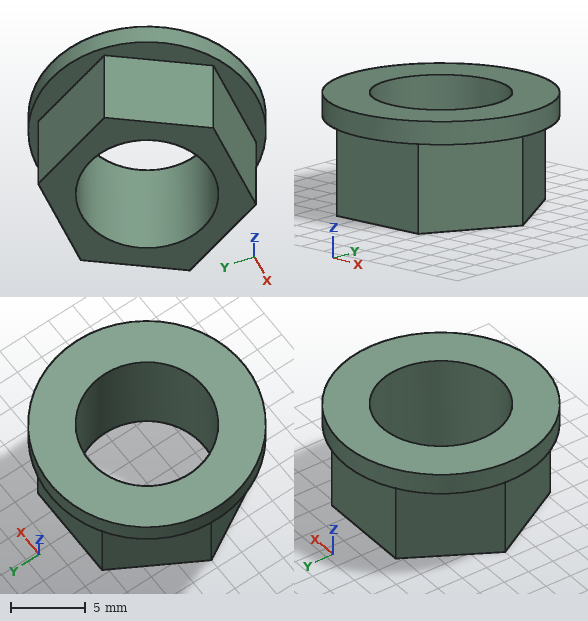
import cadquery as cq
import math

flange_diameter = 15.88
flange_thickness = 1.59
total_height = 7.94
bore_diameter = 9.53
hex_across_flats = 12.7

hex_height = total_height - flange_thickness
hex_across_corners = hex_across_flats / math.cos(math.radians(30))

hex_body = cq.Workplane("XY").polygon(6, hex_across_corners).extrude(hex_height)

flange = (
    cq.Workplane("XY")
    .workplane(offset=hex_height)
    .circle(flange_diameter / 2)
    .extrude(flange_thickness)
)

bore = cq.Workplane("XY").circle(bore_diameter / 2).extrude(total_height)

result = hex_body.union(flange).cut(bore)